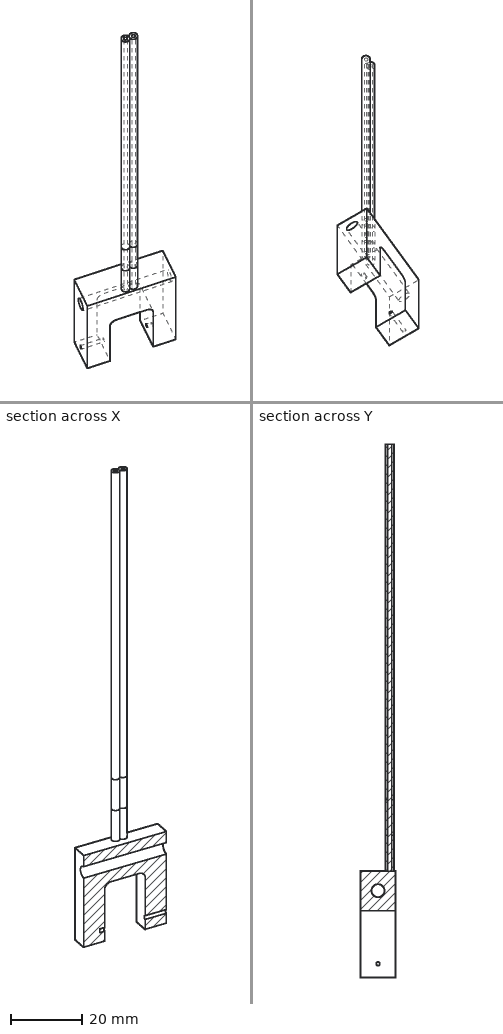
import cadquery as cq
import math

total_height = 150.0

housing_length_x = 9.9
housing_width_y = 26.8
housing_height = 30.0
slot_width = 13.0
slot_height = 18.8
slot_corner_radius = 2.0

mount_hole_diameter = 3.6
mount_hole_height = 24.5
beam_hole_diameter = 1.0
beam_hole_height = 3.9
beam_pocket_depth = 1.5

lobe_diameter = 2.4
lobe_overlap = 0.03
core_diameter = 1.0
cable_axis_inset = 1.6
short_section_length = 10.0

leg_width = (housing_width_y - slot_width) / 2
front_face_y = -housing_width_y / 2
cable_x = housing_length_x / 2 - cable_axis_inset
cable_length = total_height - housing_height
lobe_radius = lobe_diameter / 2
lobe_offset = (lobe_diameter - lobe_overlap) / 2
core_places = [(0, -lobe_offset), (0, lobe_offset)]


def cross_hole(diameter, height, depth):
    """Cylinder along +Y that starts at the -Y face of the housing."""
    return (
        cq.Workplane("XZ", origin=(0, front_face_y, height))
        .circle(diameter / 2)
        .extrude(-depth)
    )


def make_housing():
    """Fork with a through mounting hole and a beam hole that ends inside the far leg."""
    block = cq.Workplane("XY").box(
        housing_length_x, housing_width_y, housing_height, centered=(True, True, False)
    )
    slot = (
        cq.Workplane("XY")
        .box(housing_length_x, slot_width, slot_height, centered=(True, True, False))
        .edges("|X and >Z")
        .fillet(slot_corner_radius)
    )
    mount_hole = cross_hole(mount_hole_diameter, mount_hole_height, housing_width_y)
    beam_hole_depth = leg_width + slot_width + beam_pocket_depth
    beam_hole = cross_hole(beam_hole_diameter, beam_hole_height, beam_hole_depth)
    return block.cut(slot).cut(mount_hole).cut(beam_hole)


def make_sheath_section(bottom, length):
    """One length of the two-lobed sheath, with a bore along each lobe for its core."""
    neck = math.sqrt(lobe_radius**2 - lobe_offset**2)
    lobe_end = lobe_offset + lobe_radius
    return (
        cq.Workplane("XY", origin=(cable_x, 0, bottom))
        .moveTo(neck, 0)
        .threePointArc((lobe_radius, lobe_offset), (0, lobe_end))
        .threePointArc((-lobe_radius, lobe_offset), (-neck, 0))
        .threePointArc((-lobe_radius, -lobe_offset), (0, -lobe_end))
        .threePointArc((lobe_radius, -lobe_offset), (neck, 0))
        .close()
        .pushPoints(core_places)
        .circle(core_diameter / 2)
        .extrude(length, clean=False)
    )


def make_core(place):
    """Straight core that fills one bore over the whole cable."""
    x, y = place
    return (
        cq.Workplane("XY", origin=(cable_x + x, y, housing_height))
        .circle(core_diameter / 2)
        .extrude(cable_length)
    )


housing = make_housing()

long_section_length = cable_length - 2 * short_section_length
section_bottom = housing_height
sheath_sections = []
for section_length in (short_section_length, short_section_length, long_section_length):
    sheath_sections.append(make_sheath_section(section_bottom, section_length))
    section_bottom += section_length

cores = [make_core(place) for place in core_places]

result = cq.Compound.makeCompound(
    [
        housing.val(),
        *[section.val() for section in sheath_sections],
        *[core.val() for core in cores],
    ]
)